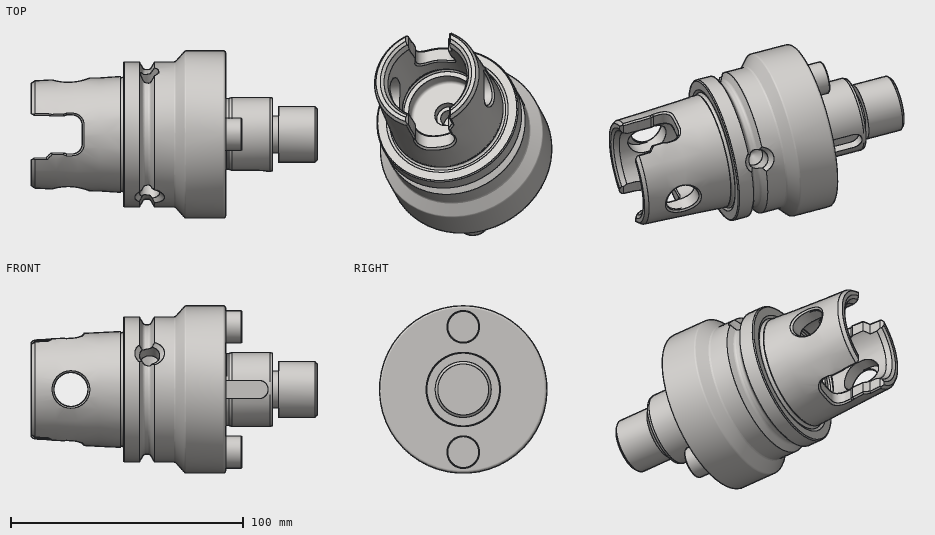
import cadquery as cq
import math

taper_end = 38.5
flange_face = 39.6
groove_left, groove_right = 46.5, 53.0
flange_end = 61.8
rim_start = 66.3
rim_face = 83.6
undercut_end = 85.0
pilot_start = 86.2
pilot_end = 103.8
head_start = 106.4
overall_length = 123.0

taper_large_r = 25.0
taper_slope = 0.05
neck_r = 24.5
flange_r = 31.2
groove_floor_r = 27.9
groove_flank_angle = 30.0
rim_r = 36.0
undercut_r = 15.5
pilot_r = 16.0
bolt_shank_r = 8.0
bolt_head_r = 12.0

shank_nose_chamfer = 1.6
shank_nose_r = 22.0
face_relief_depth = 0.5
face_relief_inner_r = 25.7
face_relief_outer_r = 26.9

mouth_r, mouth_mid_r, bore_r, recess_r = 20.2, 18.7, 17.5, 15.4
mouth_mid_x, mouth_end_x = 0.7, 3.0
bore_depth, recess_depth = 32.6, 38.6
bore_groove_start, bore_groove_r = 30.0, 18.2
recess_fillet = 1.2
centre_bore_r, centre_bore_depth = 5.3, 3.7
centre_tip_r, centre_tip_depth = 3.6, 6.1

flange_chamfer = 0.5
groove_fillet = 1.2
rim_fillet = 1.1
undercut_fillet = 0.5
cone_fillet = 1.0
pilot_chamfer_length, pilot_chamfer_height = 1.1, 0.4

slot_entry_half, slot_wide_half = 8.1, 10.1
slot_grip_half, slot_relief_half = 7.9, 8.4
slot_wide_end, slot_grip_start = 6.4, 8.6
slot_relief_start, slot_end = 15.2, 21.9
slot_corner_r = 4.3
slot_chamfer = 0.9
slot_ramp = 1.2
slot_mouth_flare_length, slot_mouth_flare = 1.5, 0.9
slot_inner_chamfer = 0.6

cross_hole_x, cross_hole_r, cross_hole_chamfer = 17.1, 7.3, 0.9
ball_pocket_shift, ball_pocket_y = 3.0, 21.1

gripper_x, gripper_angle = 50.9, 30.0
gripper_floor_r = 21.5
coded_hole_r, plain_hole_r = 4.3, 3.9
coded_sink_r = 6.4
drill_tip_angle = 118.0

keyway_width, keyway_floor_y, keyway_end = 7.9, 12.0, 101.8

pin_r, pin_offset, pin_chamfer = 7.0, 26.9, 0.4
pin_projection, pin_seat_depth = 6.9, 9.8

bolt_insertion = 24.6
bolt_head_chamfer = 1.1

margin = 0.1


def cylinder_x(start, end, radius, z=0.0):
    """Solid cylinder along X between two stations."""
    return cq.Workplane("YZ", origin=(start, 0, z)).circle(radius).extrude(end - start)


def outer_form():
    """Turned outside of the holder, from the taper shank to the pilot."""
    nose_r = taper_large_r - taper_slope * (taper_end - shank_nose_chamfer)
    flank = (flange_r - groove_floor_r) * math.tan(math.radians(groove_flank_angle))
    relief_r = face_relief_inner_r - neck_r
    relief_x = flange_face + face_relief_depth
    arc_mid = relief_r * (1 - math.sqrt(0.5))
    profile = (
        cq.Workplane("XZ")
        .moveTo(0, 0)
        .lineTo(0, shank_nose_r)
        .lineTo(shank_nose_chamfer, nose_r)
        .lineTo(taper_end, taper_large_r)
        .lineTo(taper_end, neck_r)
        .lineTo(relief_x - relief_r, neck_r)
        .threePointArc((relief_x - arc_mid, neck_r + arc_mid), (relief_x, face_relief_inner_r))
        .lineTo(flange_face, face_relief_outer_r)
        .lineTo(flange_face, flange_r - flange_chamfer)
        .lineTo(flange_face + flange_chamfer, flange_r)
        .lineTo(groove_left, flange_r)
        .lineTo(groove_left + flank, groove_floor_r)
        .lineTo(groove_right - flank, groove_floor_r)
        .lineTo(groove_right, flange_r)
        .lineTo(flange_end, flange_r)
        .lineTo(rim_start, rim_r)
        .lineTo(rim_face - rim_fillet, rim_r)
        .radiusArc((rim_face, rim_r - rim_fillet), rim_fillet)
        .lineTo(rim_face, undercut_r + undercut_fillet)
        .radiusArc((rim_face + undercut_fillet, undercut_r), -undercut_fillet)
        .lineTo(undercut_end, undercut_r)
        .lineTo(pilot_start, pilot_r)
        .lineTo(pilot_end - pilot_chamfer_length, pilot_r)
        .lineTo(pilot_end, pilot_r - pilot_chamfer_height)
        .lineTo(pilot_end, 0)
        .close()
    )
    body = profile.revolve(360, (0, 0, 0), (1, 0, 0))
    groove_corners = cq.selectors.BoxSelector(
        (groove_left + flank / 2, -flange_r, -flange_r), (groove_right - flank / 2, flange_r, flange_r)
    )
    body = body.edges(groove_corners).fillet(groove_fillet)
    cone_corners = cq.selectors.BoxSelector(
        (flange_end - margin, -rim_r, -rim_r), (rim_start + margin, rim_r, rim_r)
    )
    return body.edges(cone_corners).edges("%CIRCLE").fillet(cone_fillet)


def shank_bore():
    """Stepped bore of the shank with its groove, recess and centre hole."""
    bore_groove_height = bore_groove_r - bore_r
    main = (
        cq.Workplane("XY")
        .moveTo(0, 0)
        .lineTo(0, mouth_r)
        .lineTo(mouth_mid_x, mouth_mid_r)
        .lineTo(mouth_end_x, bore_r)
        .lineTo(bore_groove_start, bore_r)
        .lineTo(bore_groove_start + bore_groove_height, bore_groove_r)
        .lineTo(bore_depth - bore_groove_height, bore_groove_r)
        .lineTo(bore_depth, bore_r)
        .lineTo(bore_depth, recess_r)
        .lineTo(recess_depth, recess_r)
        .lineTo(recess_depth, 0)
        .close()
        .revolve(360, (0, 0, 0), (1, 0, 0))
        .faces(">X").edges().fillet(recess_fillet)
    )
    pocket_end = recess_depth + centre_bore_depth
    centre = cylinder_x(recess_depth, pocket_end, centre_bore_r)
    tip = cylinder_x(pocket_end, pocket_end + centre_tip_depth, centre_tip_r)
    return main.union(centre).union(tip)


def shank_slots():
    """Open slots through both walls; one flank starts wide, the other one straight."""
    def flank(entry_half, entry_end):
        return [
            (0, entry_half),
            (entry_end, entry_half),
            (slot_grip_start, slot_grip_half),
            (slot_relief_start - slot_ramp, slot_grip_half),
            (slot_relief_start, slot_relief_half),
            (slot_end, slot_relief_half),
        ]

    straight_flank = flank(slot_entry_half, slot_grip_start - slot_ramp)
    wide_flank = [(x, -y) for x, y in flank(slot_wide_half, slot_wide_end)]
    outline = straight_flank + wide_flank[::-1]
    prism = cq.Workplane("XY", origin=(0, 0, -rim_r)).polyline(outline).close().extrude(2 * rim_r)
    return prism.edges("|Z and >X").fillet(slot_corner_r)


def slot_rims(body):
    """Edges where the slot walls meet the outer taper."""
    def on_slot(edge):
        box = edge.BoundingBox()
        beyond_nose = box.xmax > shank_nose_chamfer + margin
        return beyond_nose and box.xmax < slot_end + margin

    found = []
    for face in body.faces("%CONE").vals():
        if abs(face.BoundingBox().xmax - taper_end) < margin:
            found += [edge for edge in face.Edges() if on_slot(edge)]
    return body.newObject(found)


def slot_mouth_flares():
    """Bevels where the slot flanks meet the open end of the shank."""
    mouth = (
        cq.Workplane("XY", origin=(0, 0, -rim_r))
        .moveTo(0, slot_entry_half + slot_mouth_flare)
        .lineTo(slot_mouth_flare_length, slot_entry_half)
        .lineTo(slot_mouth_flare_length, -slot_wide_half)
        .lineTo(0, -slot_wide_half - slot_mouth_flare)
        .close()
    )
    return mouth.extrude(2 * rim_r)


def slot_inner_ends():
    """Selects the inner edges at the rounded ends of the slots."""
    corner_start = slot_end - slot_corner_r
    limit = bore_r + margin
    return cq.selectors.BoxSelector(
        (corner_start + 0.6, -bore_r / 2, -limit), (slot_end + margin, bore_r / 2, limit)
    )


def cut_cross_holes(body):
    """Ball holes through both sides of the shank, each with a chamfered mouth."""
    start = cq.Workplane("XZ", origin=(cross_hole_x, rim_r, 0))
    body = body.cut(start.circle(cross_hole_r).extrude(2 * rim_r))
    for side in (-1, 1):
        mouth = cq.selectors.BoxSelector(
            (cross_hole_x - cross_hole_r, side * bore_r, -cross_hole_r),
            (cross_hole_x + cross_hole_r, side * flange_r, cross_hole_r),
        )
        body = body.edges(mouth).chamfer(cross_hole_chamfer)
    return body


def ball_pockets():
    """Inner part of the ball holes, lengthened towards the open end of the shank."""
    centre_x = cross_hole_x - ball_pocket_shift / 2
    slot_length = 2 * cross_hole_r + ball_pocket_shift
    start = cq.Workplane("XZ", origin=(centre_x, ball_pocket_y, 0))
    return start.slot2D(slot_length, 2 * cross_hole_r).extrude(2 * ball_pocket_y)


def gripper_hole(side, radius):
    """Radial drill hole with a pointed floor, raised above the Y axis on the given side."""
    tip = radius / math.tan(math.radians(drill_tip_angle / 2))
    tilt = math.radians(gripper_angle)
    direction = cq.Vector(0, side * math.cos(tilt), math.sin(tilt))
    floor = cq.Vector(gripper_x, 0, 0) + direction * gripper_floor_r
    barrel = cq.Solid.makeCylinder(radius, flange_r, floor, direction)
    point = cq.Solid.makeCone(radius, 0, tip, floor, direction * -1)
    return cq.Workplane(barrel).union(cq.Workplane(point))


def coded_hole_sink():
    """Right-angled countersink of the gripper hole on the -Y side."""
    depth = coded_sink_r - coded_hole_r
    tilt = math.radians(gripper_angle)
    direction = cq.Vector(0, -math.cos(tilt), math.sin(tilt))
    start = cq.Vector(gripper_x, 0, 0) + direction * (flange_r - depth)
    sink = cq.Solid.makeCone(coded_hole_r, coded_sink_r + depth, 2 * depth, start, direction)
    return cq.Workplane(sink)


def keyway():
    """Flat-floored keyway on the -Y side of the pilot, rounded at its outer end."""
    length = keyway_end - rim_face
    half = keyway_width / 2
    straight = cq.Workplane("XZ", origin=(rim_face, -keyway_floor_y, 0)).rect(2 * (length - half), keyway_width)
    slot = straight.extrude(pilot_r)
    nose = cq.Workplane("XZ", origin=(keyway_end - half, -keyway_floor_y, 0)).circle(half).extrude(pilot_r)
    keep = cq.Workplane("XY").box(length, 2 * rim_r, 2 * rim_r).translate((rim_face + length / 2, 0, 0))
    return slot.union(nose).intersect(keep)


def drive_pin(side):
    """Round drive pin seated in the rim face above or below the axis."""
    start = rim_face - pin_seat_depth
    pin = cylinder_x(start, rim_face + pin_projection, pin_r, side * pin_offset)
    return pin.faces(">X").edges().chamfer(pin_chamfer)


def make_bolt():
    """Clamping bolt whose shank sits in the pilot."""
    shank = cylinder_x(pilot_end - bolt_insertion, head_start, bolt_shank_r)
    head = cylinder_x(head_start, overall_length, bolt_head_r)
    return shank.union(head.faces(">X").edges().chamfer(bolt_head_chamfer))


def make_holder():
    """Holder body with all its openings and the seats of the bolt and pins."""
    body = outer_form().cut(shank_slots())
    body = slot_rims(body).chamfer(slot_chamfer)
    body = cut_cross_holes(body.cut(slot_mouth_flares()))
    body = body.cut(shank_bore())
    body = body.edges(slot_inner_ends()).chamfer(slot_inner_chamfer)
    body = body.cut(ball_pockets())
    body = body.cut(gripper_hole(-1, coded_hole_r)).cut(coded_hole_sink())
    body = body.cut(gripper_hole(1, plain_hole_r)).cut(keyway())
    body = body.cut(cylinder_x(pilot_end - bolt_insertion, pilot_end, bolt_shank_r))
    for side in (-1, 1):
        body = body.cut(cylinder_x(rim_face - pin_seat_depth, rim_face, pin_r, side * pin_offset))
    return body


holder = make_holder()
bolt = make_bolt()
drive_pins = [drive_pin(side) for side in (-1, 1)]
result = cq.Compound.makeCompound([holder.val(), bolt.val(), *[pin.val() for pin in drive_pins]])